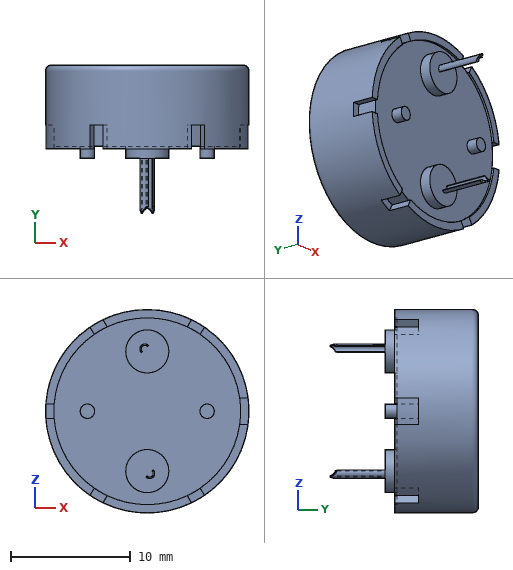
import cadquery as cq

BODY_RADIUS = 8.5
BODY_HEIGHT = 7.0
BACK_FILLET = 0.5
RIM_INNER_RADIUS = 7.8
FLOOR_RECESS = 0.2

NOTCH_DEPTH = 2.0
NOTCH_WIDTH = 1.25
WIDE_NOTCH_WIDTH = 2.25
NARROW_NOTCH_ANGLES = (60, 120, 180, 240, 300)
WIDE_NOTCH_ANGLE = 0

BOSS_RADIUS = 1.8
PEG_RADIUS = 0.6
STANDOFF_HEIGHT = 0.8
BOSS_OFFSET = 5.0
PEG_OFFSET = 5.0

PIN_OUTER_RADIUS = 0.42
PIN_WALL = 0.12
PIN_AXIS_SHIFT = 0.28
PIN_TIP_Y = -5.4
PIN_BEVEL_LENGTH = 0.6
UPPER_PIN_ANGLE = 135
LOWER_PIN_ANGLE = -45


def cylinder(radius, y_low, y_high, x=0.0, z=0.0):
    """Solid cylinder along Y between two Y levels."""
    axis = cq.Vector(0, 1, 0)
    return cq.Workplane(cq.Solid.makeCylinder(radius, y_high - y_low, cq.Vector(x, y_low, z), axis))


def turn_about_y(shape, angle):
    """Turn a shape about the Y axis, so that +X moves towards +Z."""
    return shape.rotate((0, 0, 0), (0, 1, 0), -angle)


def make_body():
    body = cylinder(BODY_RADIUS, 0, BODY_HEIGHT).faces(">Y").edges().fillet(BACK_FILLET)
    return body.cut(cylinder(RIM_INNER_RADIUS, 0, FLOOR_RECESS))


def make_notch(width, angle):
    """Parallel-sided notch that removes only the wall outside the rim's inner radius."""
    block = cq.Workplane("XY").box(2 * BODY_RADIUS, NOTCH_DEPTH, width, centered=(False, False, True))
    return turn_about_y(block, angle).cut(cylinder(RIM_INNER_RADIUS, 0, NOTCH_DEPTH))


def make_pin(boss_z, angle):
    """Half-tube whose arc is centred on the given angle, with two bevels meeting in a point."""
    tube = cylinder(PIN_OUTER_RADIUS, PIN_TIP_Y, FLOOR_RECESS)
    tube = tube.cut(cylinder(PIN_OUTER_RADIUS - PIN_WALL, PIN_TIP_Y, FLOOR_RECESS))
    shoulder_y = PIN_TIP_Y + PIN_BEVEL_LENGTH
    pointed_half = (
        cq.Workplane("ZY")
        .moveTo(-PIN_OUTER_RADIUS, FLOOR_RECESS)
        .lineTo(-PIN_OUTER_RADIUS, shoulder_y)
        .lineTo(0, PIN_TIP_Y)
        .lineTo(PIN_OUTER_RADIUS, shoulder_y)
        .lineTo(PIN_OUTER_RADIUS, FLOOR_RECESS)
        .close()
        .extrude(-PIN_OUTER_RADIUS)
    )
    pin = tube.intersect(pointed_half).translate((PIN_AXIS_SHIFT, 0, 0))
    return turn_about_y(pin, angle).translate((0, 0, boss_z))


result = make_body()

for notch_angle in NARROW_NOTCH_ANGLES:
    result = result.cut(make_notch(NOTCH_WIDTH, notch_angle))
result = result.cut(make_notch(WIDE_NOTCH_WIDTH, WIDE_NOTCH_ANGLE))

for side in (-1, 1):
    result = result.union(cylinder(BOSS_RADIUS, -STANDOFF_HEIGHT, FLOOR_RECESS, z=side * BOSS_OFFSET))
    result = result.union(cylinder(PEG_RADIUS, -STANDOFF_HEIGHT, FLOOR_RECESS, x=side * PEG_OFFSET))

result = result.union(make_pin(BOSS_OFFSET, UPPER_PIN_ANGLE))
result = result.union(make_pin(-BOSS_OFFSET, LOWER_PIN_ANGLE))